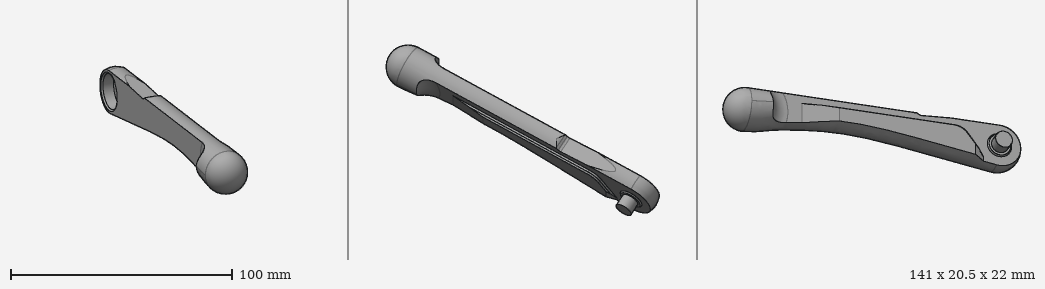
import math

import cadquery as cq

hub_radius = 11.0
ball_radius = 10.0
ball_x = 120.0
arm_thickness = 8.0
half_thickness = arm_thickness / 2
edge_radius = ball_radius
ball_z = hub_radius - ball_radius

slope = math.radians(7.9)
underside_straight = 35.0
arch_points = [(61.0, -3.2), (75.0, -2.75), (90.0, -3.8), (107.0, -6.65)]

neck_outer_radius = 19.2
neck_fillet_radius = 9.5

flat_start_x = 10.6
flat_end_x = 37.1
flat_depth = 1.8
ramp_foot_x = 38.4
ramp_foot_rise = 0.35
ramp_crest_x = 39.55
ramp_crest_drop = 0.65

socket_diameter = 16.6
socket_depth = 6.0
socket_chamfer = 0.75

pin_diameter = 8.0
pin_end_y = 10.5
seat_base_diameter = 11.5
seat_top_diameter = 10.3
seat_height = 0.65

pad_height = 2.0
pad_top_z = 6.3
pad_bottom_left_x = 4.5
pad_left_x = 7.5
pad_top_left_x = 18.0
pad_right_x = 94.0
pad_left_ramp = 4.5
pad_right_ramp = 17.0
pad_bevel_height = 0.9
pad_bevel_width = 0.35
pad_corner_radius = 8.0

clear_bottom_z = -2 * hub_radius
section_height = 2.2 * hub_radius
section_half_width = 1.5 * edge_radius


def make_underside():
    """Underside curve in the XZ plane, from the hub to the bottom of the ball."""
    start = (hub_radius * math.sin(slope), -hub_radius * math.cos(slope))
    straight_end = (
        start[0] + underside_straight * math.cos(slope),
        start[1] + underside_straight * math.sin(slope),
    )
    points = [start, straight_end] + arch_points + [(ball_x, ball_z - ball_radius)]
    tangents = [(math.cos(slope), math.sin(slope)), (1, 0)]
    return cq.Workplane("XZ").spline(points, tangents=tangents)


def make_arm():
    """Full-width arm: half-round along the top edge and along the underside curve."""
    upper = (
        cq.Workplane("YZ")
        .moveTo(-ball_radius, ball_z)
        .threePointArc((0, ball_z + ball_radius), (ball_radius, ball_z))
        .lineTo(ball_radius, clear_bottom_z)
        .lineTo(-ball_radius, clear_bottom_z)
        .close()
        .extrude(ball_x + ball_radius)
    )
    start_plane = cq.Plane(
        origin=(hub_radius * math.sin(slope), 0, -hub_radius * math.cos(slope)),
        xDir=(0, 1, 0),
        normal=(math.cos(slope), 0, math.sin(slope)),
    )
    lower = (
        cq.Workplane(start_plane)
        .moveTo(-edge_radius, edge_radius)
        .threePointArc((0, 0), (edge_radius, edge_radius))
        .lineTo(section_half_width, edge_radius)
        .lineTo(section_half_width, section_height)
        .lineTo(-section_half_width, section_height)
        .lineTo(-section_half_width, edge_radius)
        .close()
        .sweep(make_underside())
    )
    return upper.intersect(lower)


def make_hub():
    """Disc with a crowned rim, turned about the Y axis."""
    rim_radius = hub_radius - edge_radius + math.sqrt(edge_radius**2 - half_thickness**2)
    return (
        cq.Workplane("XY")
        .moveTo(0, -half_thickness)
        .lineTo(rim_radius, -half_thickness)
        .threePointArc((hub_radius, 0), (rim_radius, half_thickness))
        .lineTo(0, half_thickness)
        .close()
        .revolve(360, (0, 0, 0), (0, 1, 0))
    )


def make_neck_cutter():
    """Ring-shaped cutter on the hub side of the ball, blending the arm face into the ball end."""
    far = 2 * ball_x
    arc_center_y = half_thickness + neck_fillet_radius
    inner_radius = neck_outer_radius - neck_fillet_radius
    diagonal = neck_fillet_radius * math.sqrt(0.5)
    hub_side = cq.Workplane("XY").box(far, far, far).translate((ball_x - far / 2, 0, 0))
    return (
        cq.Workplane("XY")
        .moveTo(far, half_thickness)
        .lineTo(neck_outer_radius, half_thickness)
        .threePointArc(
            (neck_outer_radius - diagonal, arc_center_y - diagonal), (inner_radius, arc_center_y)
        )
        .lineTo(far, arc_center_y)
        .close()
        .revolve(360, (0, 0, 0), (0, 1, 0))
        .translate((ball_x, 0, ball_z))
        .intersect(hub_side)
    )


def make_thumb_cutter():
    """Sloping flat in the top edge, ending in a short ramp rounded at its foot and crest."""
    flat_end_z = hub_radius - flat_depth
    foot_z = flat_end_z + ramp_foot_rise
    crest_z = hub_radius - ramp_crest_drop
    ramp_angle = math.atan2(crest_z - foot_z, ramp_crest_x - ramp_foot_x)
    ramp_end_x = ramp_crest_x + ramp_crest_drop / math.tan(ramp_angle / 2)
    return (
        cq.Workplane("XZ")
        .moveTo(flat_start_x, hub_radius)
        .lineTo(flat_end_x, flat_end_z)
        .tangentArcPoint((ramp_foot_x, foot_z), relative=False)
        .lineTo(ramp_crest_x, crest_z)
        .tangentArcPoint((ramp_end_x, hub_radius), relative=False)
        .close()
        .extrude(half_thickness, both=True)
    )


def make_pad(arm):
    """Raised pad on the rear face: bevelled, ramped at both ends and bounded below by the arm."""
    top_y = half_thickness + pad_height
    outline = (
        cq.Workplane("XZ")
        .moveTo(pad_bottom_left_x, -hub_radius)
        .lineTo(pad_top_left_x, pad_top_z)
        .lineTo(ball_x, pad_top_z)
        .lineTo(ball_x, -hub_radius)
        .close()
        .extrude(-top_y)
        .edges(cq.selectors.NearestToPointSelector((pad_top_left_x, half_thickness, pad_top_z)))
        .fillet(pad_corner_radius)
        .faces(">Y")
        .chamfer(pad_bevel_height, pad_bevel_width)
    )
    ramps = (
        cq.Workplane("XY", origin=(0, 0, clear_bottom_z))
        .moveTo(pad_left_x, 0)
        .lineTo(pad_left_x, half_thickness)
        .lineTo(pad_left_x + pad_left_ramp, top_y)
        .lineTo(pad_right_x - pad_right_ramp, top_y)
        .lineTo(pad_right_x, half_thickness)
        .lineTo(pad_right_x, 0)
        .close()
        .extrude(-2 * clear_bottom_z)
    )
    return outline.intersect(ramps).intersect(arm)


def make_pin():
    """Cylindrical pin standing on a low conical seat."""
    half_base = seat_base_diameter / 2
    seat_y = half_thickness + seat_height
    return (
        cq.Workplane("XY")
        .moveTo(0, 0)
        .lineTo(half_base, 0)
        .lineTo(half_base, half_thickness)
        .lineTo(seat_top_diameter / 2, seat_y)
        .lineTo(pin_diameter / 2, seat_y)
        .lineTo(pin_diameter / 2, pin_end_y)
        .lineTo(0, pin_end_y)
        .close()
        .revolve(360, (0, 0, 0), (0, 1, 0))
    )


def make_socket():
    """Blind round socket with a chamfered mouth, opening on the front face."""
    radius = socket_diameter / 2
    return (
        cq.Workplane("XY")
        .moveTo(0, -half_thickness)
        .lineTo(radius + socket_chamfer, -half_thickness)
        .lineTo(radius, -half_thickness + socket_chamfer)
        .lineTo(radius, -half_thickness + socket_depth)
        .lineTo(0, -half_thickness + socket_depth)
        .close()
        .revolve(360, (0, 0, 0), (0, 1, 0))
    )


arm = make_arm()
ball = cq.Workplane("XY").sphere(ball_radius).translate((ball_x, 0, ball_z))
neck_cutter = make_neck_cutter()
body = arm.union(ball).cut(neck_cutter).cut(neck_cutter.mirror("XZ"))
body = body.union(make_hub()).cut(make_thumb_cutter())
result = body.union(make_pad(arm)).union(make_pin()).cut(make_socket())